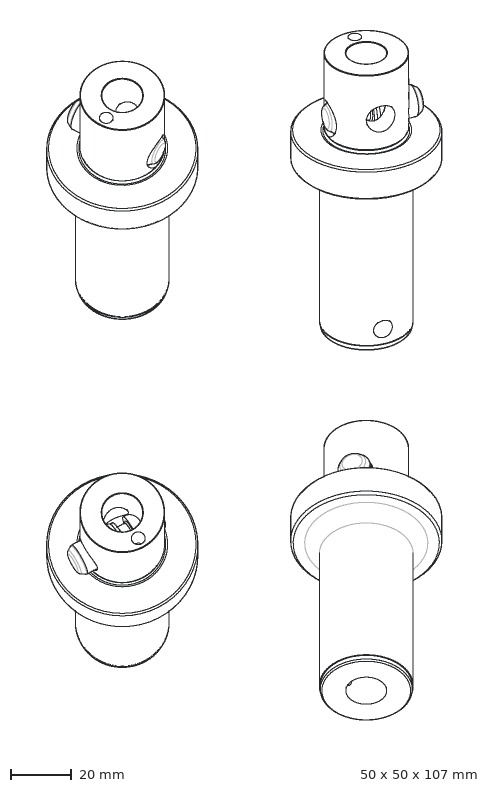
import cadquery as cq
import math

TOTAL_HEIGHT = 107.0
SPIGOT_RADIUS = 14.0
SPIGOT_CHAMFER = 0.2
SPIGOT_HEIGHT = 30.2
FLANGE_DIAMETER = 50.0
FLANGE_RADIUS = FLANGE_DIAMETER / 2
FLANGE_THICKNESS = 11.8
FLANGE_TOP_CHAMFER = 0.6
FLANGE_BOTTOM_CHAMFER = 0.9
SHANK_RADIUS = 15.5
SHANK_FILLET = 4.8
BORE_RADIUS = 6.7
BORE_CHAMFER = 0.2

SHANK_END_HEIGHT = 2.1
SHANK_END_STEP = 0.3
SHANK_END_CHAMFER = 0.5

UNDERCUT_HEIGHT = 1.2
UNDERCUT_DEPTH = 0.4
UNDERCUT_OUTER_RADIUS = 15.0
UNDERCUT_FACE_WIDTH = 0.6
UNDERCUT_FACE_DEPTH = 0.2
UNDERCUT_FILLET = 0.7

DRILL_RADIUS = 2.2
DRILL_OFFSET = 10.5
DRILL_DEPTH = 10.7
DRILL_TIP_HEIGHT = 1.3

SPIGOT_SIDE_HOLE_RADIUS = 5.0
SPIGOT_SIDE_HOLE_Z = 89.5
SHANK_SIDE_HOLE_RADIUS = 3.3
SHANK_SIDE_HOLE_Z = 8.1

PIN_Z = 84.5
PIN_RADIUS = 5.5
PIN_LEFT_X = -18.8
PIN_RIGHT_X = 14.4
PIN_NECK_RADIUS = 3.4
PIN_NECK_LEFT_X = -0.7
PIN_NECK_RIGHT_X = 3.3
PIN_NECK_CHAMFER = 0.5

TIP_RADIUS = 3.4
NOSE_LENGTH = 0.6
NOSE_ARC_RADIUS = 1.1
CONE_SMALL_RADIUS = 4.4
CONE_LENGTH = 1.5
BEVEL_LENGTH = 0.3
BEVEL_DEPTH = 0.1

COUNTERSINK_RADIUS = 6.4
COUNTERSINK_HALF_ANGLE = 30
COUNTERSINK_OVERRUN = 1.1

RING_X = -2.4
RING_SECTION_RADIUS = 0.6
RING_CENTRE_RADIUS = 5.1

FLANGE_TOP_Z = TOTAL_HEIGHT - SPIGOT_HEIGHT
FLANGE_BOTTOM_Z = FLANGE_TOP_Z - FLANGE_THICKNESS


def revolved_holder():
    foot_radius = SPIGOT_RADIUS - UNDERCUT_DEPTH
    face_radius = UNDERCUT_OUTER_RADIUS - UNDERCUT_FACE_WIDTH
    face_z = FLANGE_TOP_Z - UNDERCUT_FACE_DEPTH
    end_radius = SHANK_RADIUS - SHANK_END_STEP
    profile = (
        cq.Workplane("XZ")
        .moveTo(BORE_RADIUS, 0)
        .lineTo(end_radius - SHANK_END_CHAMFER, 0)
        .lineTo(end_radius, SHANK_END_CHAMFER)
        .lineTo(end_radius, SHANK_END_HEIGHT)
        .lineTo(SHANK_RADIUS, SHANK_END_HEIGHT)
        .lineTo(SHANK_RADIUS, FLANGE_BOTTOM_Z - SHANK_FILLET)
        .radiusArc((SHANK_RADIUS + SHANK_FILLET, FLANGE_BOTTOM_Z), SHANK_FILLET)
        .lineTo(FLANGE_RADIUS - FLANGE_BOTTOM_CHAMFER, FLANGE_BOTTOM_Z)
        .lineTo(FLANGE_RADIUS, FLANGE_BOTTOM_Z + FLANGE_BOTTOM_CHAMFER)
        .lineTo(FLANGE_RADIUS, FLANGE_TOP_Z - FLANGE_TOP_CHAMFER)
        .lineTo(FLANGE_RADIUS - FLANGE_TOP_CHAMFER, FLANGE_TOP_Z)
        .lineTo(UNDERCUT_OUTER_RADIUS, FLANGE_TOP_Z)
        .lineTo(face_radius, face_z)
        .radiusArc((foot_radius, face_z + UNDERCUT_FILLET), UNDERCUT_FILLET)
        .lineTo(SPIGOT_RADIUS, FLANGE_TOP_Z + UNDERCUT_HEIGHT)
        .lineTo(SPIGOT_RADIUS, TOTAL_HEIGHT - SPIGOT_CHAMFER)
        .lineTo(SPIGOT_RADIUS - SPIGOT_CHAMFER, TOTAL_HEIGHT)
        .lineTo(BORE_RADIUS + BORE_CHAMFER, TOTAL_HEIGHT)
        .lineTo(BORE_RADIUS, TOTAL_HEIGHT - BORE_CHAMFER)
        .close()
    )
    return profile.revolve(360, (0, 0, 0), (0, 1, 0))


def pin_hole():
    """Through hole along X for the pin, countersunk at both ends."""
    taper = math.tan(math.radians(COUNTERSINK_HALF_ANGLE))
    cone_length = (COUNTERSINK_RADIUS - PIN_RADIUS) / taper
    outer_x = SPIGOT_RADIUS + COUNTERSINK_OVERRUN
    outer_radius = COUNTERSINK_RADIUS + (outer_x - SPIGOT_RADIUS) * taper
    half_profile = (
        cq.Workplane("XZ", origin=(0, 0, PIN_Z))
        .lineTo(0, PIN_RADIUS)
        .lineTo(SPIGOT_RADIUS - cone_length, PIN_RADIUS)
        .lineTo(outer_x, outer_radius)
        .lineTo(outer_x, 0)
        .close()
    )
    half_hole = half_profile.revolve(360, (0, 0, 0), (1, 0, 0))
    return half_hole.union(half_hole.mirror("YZ"))


def drilled_hole():
    """Blind hole with a conical tip."""
    return (
        cq.Workplane("XZ", origin=(0, -DRILL_OFFSET, 0))
        .moveTo(0, TOTAL_HEIGHT)
        .lineTo(DRILL_RADIUS, TOTAL_HEIGHT)
        .lineTo(DRILL_RADIUS, TOTAL_HEIGHT - DRILL_DEPTH)
        .lineTo(0, TOTAL_HEIGHT - DRILL_DEPTH - DRILL_TIP_HEIGHT)
        .close()
        .revolve(360, (0, 0, 0), (0, 1, 0))
    )


def side_hole(radius, z):
    """Cylinder along Y, from the bore axis out past the +Y side of the holder."""
    return cq.Workplane("XZ", origin=(0, 0, z)).circle(radius).extrude(-FLANGE_RADIUS)


def make_holder():
    return (
        revolved_holder()
        .cut(pin_hole())
        .cut(drilled_hole())
        .cut(side_hole(SPIGOT_SIDE_HOLE_RADIUS, SPIGOT_SIDE_HOLE_Z))
        .cut(side_hole(SHANK_SIDE_HOLE_RADIUS, SHANK_SIDE_HOLE_Z))
    )


def make_ring():
    return cq.Workplane(
        cq.Solid.makeTorus(
            RING_CENTRE_RADIUS, RING_SECTION_RADIUS, cq.Vector(RING_X, 0, PIN_Z), cq.Vector(1, 0, 0)
        )
    )


def make_pin(ring):
    """Turned pin with a neck and a groove that the ring fills."""
    neck_shoulder_radius = PIN_NECK_RADIUS + PIN_NECK_CHAMFER
    cone_large_radius = PIN_RADIUS - BEVEL_DEPTH
    cone_end = NOSE_LENGTH + CONE_LENGTH
    bevel_end = cone_end + BEVEL_LENGTH
    profile = (
        cq.Workplane("XZ", origin=(0, 0, PIN_Z))
        .moveTo(PIN_LEFT_X, 0)
        .lineTo(PIN_LEFT_X, TIP_RADIUS)
        .radiusArc((PIN_LEFT_X + NOSE_LENGTH, CONE_SMALL_RADIUS), NOSE_ARC_RADIUS)
        .lineTo(PIN_LEFT_X + cone_end, cone_large_radius)
        .lineTo(PIN_LEFT_X + bevel_end, PIN_RADIUS)
        .lineTo(PIN_NECK_LEFT_X, PIN_RADIUS)
        .lineTo(PIN_NECK_LEFT_X, neck_shoulder_radius)
        .lineTo(PIN_NECK_LEFT_X + PIN_NECK_CHAMFER, PIN_NECK_RADIUS)
        .lineTo(PIN_NECK_RIGHT_X - PIN_NECK_CHAMFER, PIN_NECK_RADIUS)
        .lineTo(PIN_NECK_RIGHT_X, neck_shoulder_radius)
        .lineTo(PIN_NECK_RIGHT_X, PIN_RADIUS)
        .lineTo(PIN_RIGHT_X - bevel_end, PIN_RADIUS)
        .lineTo(PIN_RIGHT_X - cone_end, cone_large_radius)
        .lineTo(PIN_RIGHT_X - NOSE_LENGTH, CONE_SMALL_RADIUS)
        .radiusArc((PIN_RIGHT_X, TIP_RADIUS), NOSE_ARC_RADIUS)
        .lineTo(PIN_RIGHT_X, 0)
        .close()
    )
    return profile.revolve(360, (0, 0, 0), (1, 0, 0)).cut(ring)


holder = make_holder()
ring = make_ring()
pin = make_pin(ring)
result = cq.Compound.makeCompound([holder.val(), pin.val(), ring.val()])